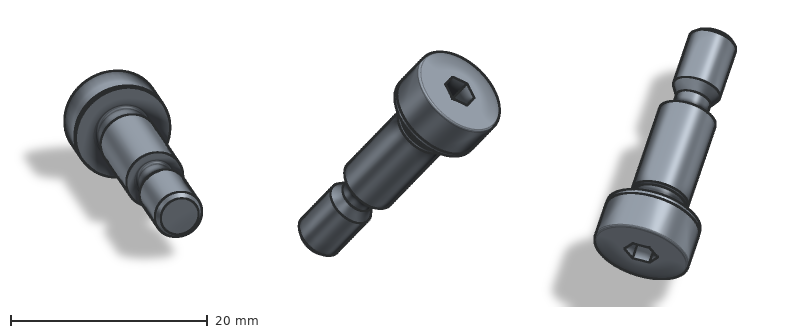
import cadquery as cq
import math

total_length = 26.0
head_diameter = 10.0
head_body_length = 4.0
head_land_diameter = 9.95
head_length = 4.5
head_edge_fillet = 0.2

neck_diameter = 5.5
shoulder_diameter = 6.0
shoulder_start = 6.53
shoulder_end = 16.5

undercut_diameter = 3.65
undercut_end = 18.6
root_fillet = 0.3

tip_diameter = 5.0
tip_chamfer = 0.5
tip_cone_angle = 30.0

hex_across_flats = 3.07
hex_depth = 2.5

shoulder_chamfer = (shoulder_diameter - neck_diameter) / 2
tip_cone_rise = (tip_diameter - undercut_diameter) / 2
tip_cone_length = tip_cone_rise / math.tan(math.radians(tip_cone_angle))


def concave_root(profile, face_x, radius):
    """Round the corner from a face at face_x onto a smaller cylinder of the given radius."""
    arc_inset = root_fillet * (1 - math.sqrt(0.5))
    return (
        profile.lineTo(face_x, radius + root_fillet)
        .threePointArc(
            (face_x + arc_inset, radius + arc_inset),
            (face_x + root_fillet, radius),
        )
    )


def make_body():
    """Revolve the stepped half outline, from the head to the tip."""
    neck_radius = neck_diameter / 2
    shoulder_radius = shoulder_diameter / 2
    undercut_radius = undercut_diameter / 2
    tip_radius = tip_diameter / 2

    profile = (
        cq.Workplane("XY")
        .lineTo(0, head_diameter / 2)
        .lineTo(head_body_length, head_diameter / 2)
        .lineTo(head_body_length, head_land_diameter / 2)
        .lineTo(head_length, head_land_diameter / 2)
    )
    profile = concave_root(profile, head_length, neck_radius)
    profile = (
        profile.lineTo(shoulder_start, neck_radius)
        .lineTo(shoulder_start + shoulder_chamfer, shoulder_radius)
        .lineTo(shoulder_end, shoulder_radius)
    )
    profile = concave_root(profile, shoulder_end, undercut_radius)
    profile = (
        profile.lineTo(undercut_end, undercut_radius)
        .lineTo(undercut_end + tip_cone_length, tip_radius)
        .lineTo(total_length - tip_chamfer, tip_radius)
        .lineTo(total_length, tip_radius - tip_chamfer)
        .lineTo(total_length, 0)
        .close()
    )
    return profile.revolve(360, (0, 0, 0), (1, 0, 0))


def make_hex_socket():
    """Hexagonal prism with two corners on the Y axis and two flats facing up and down."""
    across_corners = hex_across_flats / math.cos(math.pi / 6)
    return cq.Workplane("YZ").polygon(6, across_corners).extrude(hex_depth)


body = make_body().faces("<X").edges().fillet(head_edge_fillet)
result = body.cut(make_hex_socket())